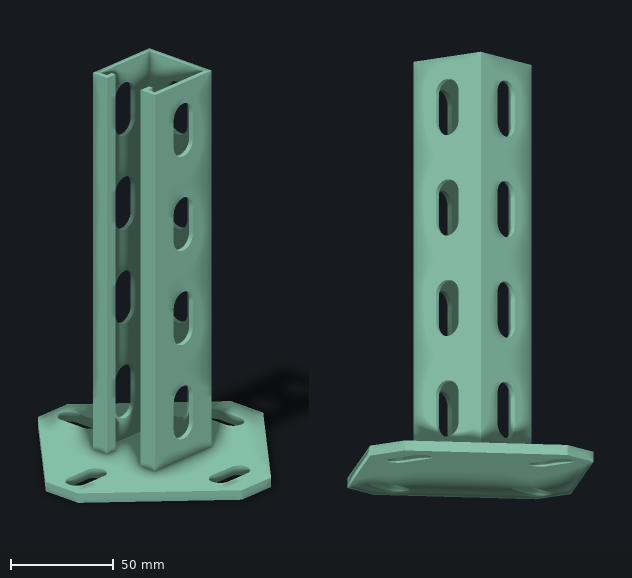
import cadquery as cq
import math

PLATE_SIDE = 110.0
PLATE_CORNER_CUT = 15.0
PLATE_THICKNESS = 5.0

PLATE_SLOT_LENGTH = 25.0
PLATE_SLOT_WIDTH = 11.0
PLATE_SLOT_OFFSET = 35.0
PLATE_SLOT_RADIUS = PLATE_SLOT_OFFSET * math.sqrt(2)
PLATE_SLOTS = [(0, 90), (90, 0), (180, 0), (270, 90)]

CHANNEL_SIZE = 41.0
CHANNEL_WALL = 2.5
CHANNEL_LENGTH = 200.0
CHANNEL_CENTER_Y = -1.67
LIP_OPENING = 22.0
LIP_DEPTH = 6.0

WALL_SLOT_LENGTH = 28.0
WALL_SLOT_WIDTH = 14.0
WALL_SLOT_PITCH = 50.0
WALL_SLOT_COUNT = 4
WALL_SLOT_FIRST = WALL_SLOT_PITCH / 2


def make_base_plate():
    """Octagonal plate standing on Z = 0, with four through slots."""
    plate = (
        cq.Workplane("XY")
        .rect(PLATE_SIDE, PLATE_SIDE)
        .extrude(PLATE_THICKNESS)
        .edges("|Z")
        .chamfer(PLATE_CORNER_CUT)
        .rotate((0, 0, 0), (0, 0, 1), 45)
    )
    for position_angle, slot_angle in PLATE_SLOTS:
        angle = math.radians(position_angle)
        slot = (
            cq.Workplane("XY")
            .center(PLATE_SLOT_RADIUS * math.cos(angle), PLATE_SLOT_RADIUS * math.sin(angle))
            .slot2D(PLATE_SLOT_LENGTH, PLATE_SLOT_WIDTH, slot_angle)
            .extrude(PLATE_THICKNESS)
        )
        plate = plate.cut(slot)
    return plate


def channel_profile():
    """Closed lipped-channel section, centred on the channel axis."""
    outer = CHANNEL_SIZE / 2
    inner = outer - CHANNEL_WALL
    lip_edge = LIP_OPENING / 2
    lip_inside = lip_edge + CHANNEL_WALL
    lip_top = -outer + LIP_DEPTH
    right_half = [
        (outer, outer),
        (outer, -outer),
        (lip_edge, -outer),
        (lip_edge, lip_top),
        (lip_inside, lip_top),
        (lip_inside, -inner),
        (inner, -inner),
        (inner, inner),
    ]
    left_half = [(-x, y) for x, y in reversed(right_half)]
    return cq.Workplane("XY").polyline(right_half + left_half).close()


def wall_slot_cutters(plane, depth, both):
    """Row of upright slots extruded from a vertical plane through the channel axis."""
    centers = [(0, WALL_SLOT_FIRST + i * WALL_SLOT_PITCH) for i in range(WALL_SLOT_COUNT)]
    return (
        cq.Workplane(plane)
        .pushPoints(centers)
        .slot2D(WALL_SLOT_LENGTH, WALL_SLOT_WIDTH, 90)
        .extrude(depth, both=both)
    )


def make_channel():
    """Slotted channel standing on top of the base plate."""
    channel = channel_profile().extrude(CHANNEL_LENGTH)
    channel = channel.cut(wall_slot_cutters("YZ", CHANNEL_SIZE, True))
    channel = channel.cut(wall_slot_cutters("XZ", -CHANNEL_SIZE, False))
    return channel.translate((0, CHANNEL_CENTER_Y, PLATE_THICKNESS))


base_plate = make_base_plate()
channel = make_channel()

result = cq.Compound.makeCompound([base_plate.val(), channel.val()])